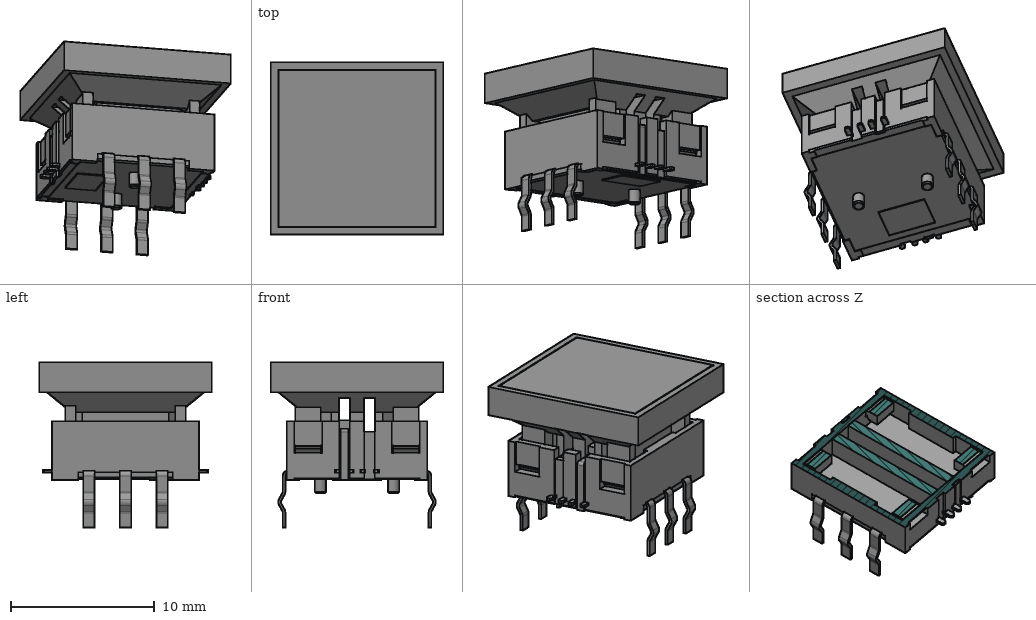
import cadquery as cq
import math


cap_size = 12.0
cap_top = 8.2
cap_thickness = 2.1
cap_bottom = cap_top - cap_thickness
frame_width = 0.52
lens_gap = 0.05
lens_depth = 1.0
taper_top_half = 5.46
taper_bottom = 4.73
stem_bottom = 2.6
stem_front_half = 1.8
stem_half_y = 3.76
stem_half_x = 3.5
stem_side_half = 3.0

leg_inner_x = 2.51
leg_outer_x = 4.31
leg_inner_y = 3.47
leg_outer_y = 4.2
leg_bottom = 1.65
hook_reach = 0.5
hook_top = 2.45
hook_tip_top = 2.33
hook_tip_bottom = 2.2

housing_x = 9.8
housing_y = 10.24
housing_height = 4.1
cavity_size = 8.86
rib_half_length = 2.0
rib_inner_x = 4.15
window_inner_x = 2.43
window_outer_x = 4.37
window_bottom = 1.9
window_lintel = 2.4
window_recess = 0.17
bottom_relief = 0.05
relief_half_x = 4.0
edge_chamfer = 0.1

slot_inner_x = 0.5
slot_outer_x = 1.24
slot_center_x = (slot_inner_x + slot_outer_x) / 2
slot_ledge = 3.38
cap_slot_top = 5.7

tab_width = 0.38
tab_length = 0.63
tab_bottom = 0.53
tab_height = 0.18
tab_chamfer = 0.1
tab_overlap = 0.09

base_bottom = 0.08
base_floor_top = 1.0
raised_fin_half_length = 3.4
raised_fin_top = 4.17
bay_half_length = 3.3
bay_top = 0.56
bay_chamfer = 0.12
foot_half_x = 1.7
foot_front = -3.9
foot_back = -1.7
peg_diameter = 0.8
peg_length = 0.9
peg_chamfer = 0.1

pin_pitch = 2.54
pin_width = 0.8
pin_thickness = 0.2
pin_outer_x = 5.17
pin_top = 0.66
pin_bottom = -3.3
pin_bend_radius = 0.37
kink_center = -1.52
kink_start = -0.84
kink_angle = math.radians(29)
kink_radius = 0.43
kink_reach = 0.31
kink_root_radius = 0.2

contact_width = 0.53
contact_thickness = 0.2

SIDES = (-1, 1)
wall_x = housing_x / 2
wall_y = housing_y / 2
cavity_half = cavity_size / 2


def block(x_range, y_range, z_range):
    """Box between two limits on each axis."""
    x0, x1 = sorted(x_range)
    y0, y1 = sorted(y_range)
    z0, z1 = sorted(z_range)
    return cq.Workplane("XY").box(x1 - x0, y1 - y0, z1 - z0, centered=False).translate((x0, y0, z0))


def mirrored_corners(part):
    """The part and its mirror copies in all four corners, as a list."""
    pair = [part, part.mirror("YZ")]
    return pair + [copy.mirror("XZ") for copy in pair]


def make_taper():
    """Square taper that narrows downward to the width of the stem."""
    return (
        cq.Workplane("XY", origin=(0, 0, taper_bottom))
        .rect(2 * stem_half_y, 2 * stem_half_y)
        .workplane(offset=cap_bottom - taper_bottom)
        .rect(2 * taper_top_half, 2 * taper_top_half)
        .loft(ruled=True)
    )


def make_stem():
    """Stem whose corners have 45-degree facets on both sides of each leg root."""
    facet_end_y = stem_half_y - (leg_inner_x - stem_front_half)
    facet_end_x = stem_half_x - (leg_inner_y - stem_side_half)
    quarter = (
        cq.Workplane("XY", origin=(0, 0, stem_bottom))
        .polyline([
            (0, 0),
            (0, stem_half_y),
            (stem_front_half, stem_half_y),
            (leg_inner_x, facet_end_y),
            (leg_inner_x, leg_inner_y),
            (facet_end_x, leg_inner_y),
            (stem_half_x, stem_side_half),
            (stem_half_x, 0),
        ])
        .close()
        .extrude(cap_bottom - stem_bottom)
    )
    first, *others = mirrored_corners(quarter)
    for other in others:
        first = first.union(other)
    return first


def make_leg():
    """Snap leg at the +X +Y corner, with its hook pointing outward in Y."""
    tip = leg_outer_y + hook_reach
    return (
        cq.Workplane("YZ", origin=(leg_inner_x, 0, 0))
        .polyline([
            (leg_inner_y, leg_bottom),
            (leg_outer_y, leg_bottom),
            (tip, hook_tip_bottom),
            (tip, hook_tip_top),
            (leg_outer_y, hook_top),
            (leg_outer_y, cap_bottom),
            (leg_inner_y, cap_bottom),
        ])
        .close()
        .extrude(leg_outer_x - leg_inner_x)
    )


def make_cap():
    half = cap_size / 2
    pocket_half = half - frame_width
    cap = block((-half, half), (-half, half), (cap_bottom, cap_top))
    cap = cap.union(make_taper()).union(make_stem())
    for leg in mirrored_corners(make_leg()):
        cap = cap.union(leg)
    for side in SIDES:
        slot_x = (side * slot_inner_x, side * slot_outer_x)
        cap = cap.cut(block(slot_x, (-half, half), (stem_bottom, cap_slot_top)))
    pocket_side = (-pocket_half, pocket_half)
    return cap.cut(block(pocket_side, pocket_side, (cap_top - lens_depth, cap_top)))


def make_lens():
    lens_half = cap_size / 2 - frame_width - lens_gap
    lens_side = (-lens_half, lens_half)
    return block(lens_side, lens_side, (cap_top - lens_depth, cap_top))


def make_tab(center_x):
    """Retaining tab on the +Y wall, with chamfered tip corners."""
    return (
        block(
            (center_x - tab_width / 2, center_x + tab_width / 2),
            (wall_y - contact_thickness, wall_y + tab_length),
            (tab_bottom, tab_bottom + tab_height),
        )
        .edges("|Z and >Y")
        .chamfer(tab_chamfer)
    )


def cut_front_features(housing, side):
    """Windows, slots and the lower edge chamfer of the wall at Y = side * wall_y."""
    outer = side * wall_y
    inner = side * cavity_half
    for x_side in SIDES:
        window_x = (x_side * window_inner_x, x_side * window_outer_x)
        recess_y = (outer - side * window_recess, outer)
        housing = housing.cut(block(window_x, recess_y, (window_bottom, housing_height)))
        housing = housing.cut(block(window_x, (inner, outer), (window_bottom, window_lintel)))

        slot_x = (x_side * slot_inner_x, x_side * slot_outer_x)
        groove_y = (outer - side * contact_thickness, outer)
        housing = housing.cut(block(slot_x, groove_y, (0, housing_height)))
        housing = housing.cut(block(slot_x, (inner, outer), (slot_ledge, housing_height)))

    chamfer_top = bottom_relief + edge_chamfer
    edge = (
        cq.Workplane("YZ", origin=(-window_outer_x, 0, 0))
        .polyline([
            (outer, chamfer_top),
            (outer - side * chamfer_top, 0),
            (outer, 0),
        ])
        .close()
        .extrude(2 * window_outer_x)
    )
    return housing.cut(edge)


def make_housing():
    cavity = (-cavity_half, cavity_half)
    housing = block((-wall_x, wall_x), (-wall_y, wall_y), (0, housing_height))
    housing = housing.cut(block(cavity, cavity, (0, housing_height)))
    for side in SIDES:
        rib_x = (side * rib_inner_x, side * wall_x)
        rib_y = (-rib_half_length, rib_half_length)
        housing = housing.union(block(rib_x, rib_y, (base_floor_top, housing_height)))

        side_wall_x = (side * cavity_half, side * wall_x)
        bay_y = (-bay_half_length, bay_half_length)
        housing = housing.cut(block(side_wall_x, bay_y, (0, bay_top)))
        for row in (-1, 0, 1):
            pin_y = (row * pin_pitch - pin_width / 2, row * pin_pitch + pin_width / 2)
            housing = housing.cut(block(side_wall_x, pin_y, (0, pin_top)))

        housing = cut_front_features(housing, side)
    relief_x = (-relief_half_x, relief_half_x)
    housing = housing.cut(block(relief_x, (-wall_y, wall_y), (0, bottom_relief)))

    tab_inset = tab_width / 2 - tab_overlap
    for x_side in SIDES:
        for tab_x in (slot_inner_x - tab_inset, slot_outer_x + tab_inset):
            tab = make_tab(x_side * tab_x)
            housing = housing.union(tab).union(tab.mirror("XZ"))
    return housing


def make_pin(row):
    """Bent pin on the +X side; its kink bulges outward to grip the board hole."""
    inner_x = pin_outer_x - pin_thickness
    bend_x = pin_outer_x - pin_bend_radius
    bend_z = pin_top - pin_bend_radius
    bend_inner = pin_bend_radius - pin_thickness
    diagonal = math.sqrt(0.5)

    crest_x = pin_outer_x + kink_reach - kink_radius
    crest_inner = kink_radius - pin_thickness
    rise = math.sin(kink_angle)
    run = math.cos(kink_angle)
    inner_start = kink_start - pin_thickness * math.tan(kink_angle / 2)
    kink_end = 2 * kink_center - kink_start
    inner_end = 2 * kink_center - inner_start

    pin = (
        cq.Workplane("XZ", origin=(0, row * pin_pitch + pin_width / 2, 0))
        .moveTo(cavity_half, pin_top)
        .lineTo(bend_x, pin_top)
        .threePointArc(
            (bend_x + pin_bend_radius * diagonal, bend_z + pin_bend_radius * diagonal),
            (pin_outer_x, bend_z),
        )
        .lineTo(pin_outer_x, kink_start)
        .lineTo(crest_x + kink_radius * run, kink_center + kink_radius * rise)
        .threePointArc(
            (crest_x + kink_radius, kink_center),
            (crest_x + kink_radius * run, kink_center - kink_radius * rise),
        )
        .lineTo(pin_outer_x, kink_end)
        .lineTo(pin_outer_x, pin_bottom)
        .lineTo(inner_x, pin_bottom)
        .lineTo(inner_x, inner_end)
        .lineTo(crest_x + crest_inner * run, kink_center - crest_inner * rise)
        .threePointArc(
            (crest_x + crest_inner, kink_center),
            (crest_x + crest_inner * run, kink_center + crest_inner * rise),
        )
        .lineTo(inner_x, inner_start)
        .lineTo(inner_x, bend_z)
        .threePointArc(
            (bend_x + bend_inner * diagonal, bend_z + bend_inner * diagonal),
            (bend_x, pin_top - pin_thickness),
        )
        .lineTo(cavity_half, pin_top - pin_thickness)
        .close()
        .extrude(pin_width)
    )
    center_y = row * pin_pitch
    roots = [
        (pin_outer_x, kink_start, kink_root_radius),
        (pin_outer_x, kink_end, kink_root_radius),
        (inner_x, inner_start, kink_root_radius + pin_thickness),
        (inner_x, inner_end, kink_root_radius + pin_thickness),
    ]
    for root_x, root_z, radius in roots:
        root_edge = cq.selectors.NearestToPointSelector((root_x, center_y, root_z))
        pin = pin.edges(root_edge).fillet(radius)
    return pin


def make_base():
    """Floor, cap slot fins, bay plugs, foot, locating pegs and the six terminal pins."""
    inside = (-cavity_half, cavity_half)
    base = block(inside, inside, (base_bottom, base_floor_top))
    for side in SIDES:
        fin_x = (side * slot_inner_x, side * slot_outer_x)
        base = base.union(block(fin_x, inside, (base_bottom, slot_ledge)))
    raised_x = (-slot_outer_x, -slot_inner_x)
    raised_y = (-raised_fin_half_length, raised_fin_half_length)
    base = base.union(block(raised_x, raised_y, (base_bottom, raised_fin_top)))

    plug = block((-wall_x, wall_x), (-bay_half_length, bay_half_length), (base_bottom, bay_top))
    plug = plug.edges("|Y and <Z").chamfer(bay_chamfer)
    base = base.union(plug)

    foot_x = (-foot_half_x, foot_half_x)
    base = base.union(block(foot_x, (foot_front, foot_back), (0, base_floor_top)))

    for side in SIDES:
        peg = (
            cq.Workplane("XY", origin=(side * pin_pitch, 0, -peg_length))
            .circle(peg_diameter / 2)
            .extrude(peg_length + base_floor_top)
            .faces("<Z")
            .chamfer(peg_chamfer)
        )
        base = base.union(peg)

    for row in (-1, 0, 1):
        pin = make_pin(row)
        base = base.union(pin).union(pin.mirror("YZ"))
    return base


def make_front_contact():
    """Strip that climbs the front groove and bends inward over the slot ledge to the raised fin."""
    front = -wall_y
    back = front + contact_thickness
    top = slot_ledge + contact_thickness
    diagonal = math.sqrt(0.5)
    return (
        cq.Workplane("YZ", origin=(-slot_center_x - contact_width / 2, 0, 0))
        .moveTo(front, 0)
        .lineTo(front, slot_ledge)
        .threePointArc(
            (back - contact_thickness * diagonal, slot_ledge + contact_thickness * diagonal),
            (back, top),
        )
        .lineTo(-raised_fin_half_length, top)
        .lineTo(-raised_fin_half_length, slot_ledge)
        .lineTo(back, slot_ledge)
        .lineTo(back, 0)
        .close()
        .extrude(contact_width)
    )


cap = make_cap()
lens = make_lens()
front_contact = make_front_contact()
rear_contact = front_contact.mirror("XZ")
housing = make_housing()
base = make_base()

result = cq.Compound.makeCompound([
    cap.val(),
    lens.val(),
    housing.val(),
    base.val(),
    front_contact.val(),
    rear_contact.val(),
])